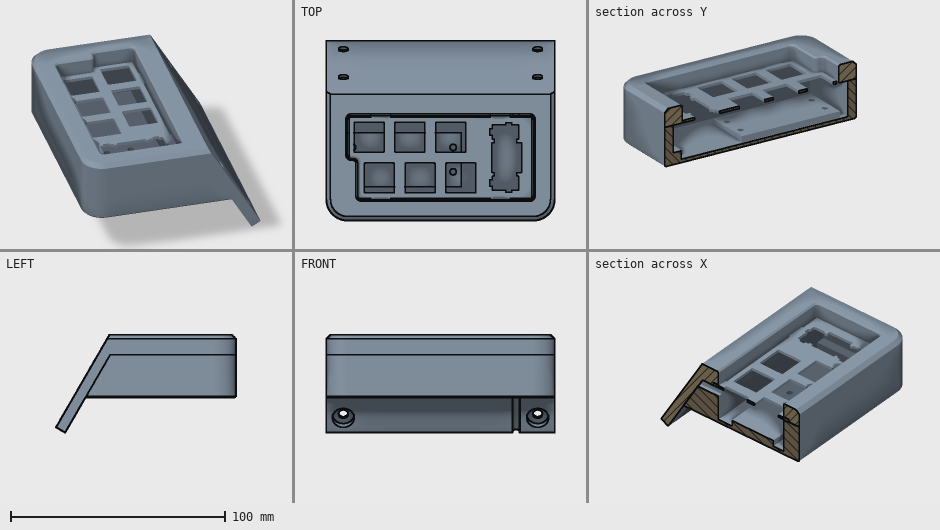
import cadquery as cq
import math


width = 106.78
box_height = 29.5
base_height = 20.0
corner_radius = 10.0
top_chamfer = 2.0
edge_chamfer = 0.8

slope = math.radians(60)
flange_length = 50.0
flange_thickness = 5.0
total_depth = 84.15
top_depth = total_depth - flange_length * math.cos(slope)

screw_diameter = 4.5
head_diameter = 10.2
head_depth = 3.5
screw_edge = 8.0
screw_spacing = 26.0

unit = 19.05
plate_thickness = 1.5
plate_trim = 0.3
plate_length = 4.5 * unit - plate_trim
plate_width = 2 * unit - plate_trim
plate_gap = 0.75
plate_y = 29.5
tab_length = 9.5
tab_reach = 3.0
tab_x = 27.9

key_size = 14.0
key_radius = 0.5
keys_per_row = 3
first_key_x = (unit - plate_length - plate_trim) / 2
row_shift = unit / 4
long_key_spacing = 1.125 * unit
long_key_x = first_key_x + row_shift + (keys_per_row - 1) * unit + long_key_spacing

stabiliser_pitch = 11.95
stabiliser_left = -6.75
stabiliser_right = 5.55
stabiliser_length = 6.75
bump_left = -7.85
bump_length = 3.0
neck_left = -5.85
neck_right = 4.75
end_notch_x = 1.0
end_notch_width = 2.8
end_notch_reach = 16.3

window_length = plate_length + 2 * plate_gap
window_width = plate_width + 2 * plate_gap
window_radius = 2.0
window_corner_step = 4.7
window_corner_top = 29.0
window_front = plate_y - window_width / 2
window_left = -window_length / 2
plate_top_z = base_height + plate_thickness

wall = 5.0
floor_thickness = 2.0
ledge_width = 4.6
ledge_top_z = 6.3

platform_right = 9.7
platform_length = 54.6
platform_width = 25.2
platform_y = 28.55
platform_top_z = 5.2
board_hole_diameter = 3.0
board_hole_pitch_x = 47.0
board_hole_pitch_y = 11.4

cable_x = 35.3
cable_diameter = 3.0
cable_z = 16.4
groove_centre_depth = 1.5
groove_mouth_width = 3.8
groove_mouth_depth = 0.5

notch_x = -28.2
notch_width = 4.4
notch_z = 15.4


def box_between(x_min, x_max, y_min, y_max, z_min, z_max):
    return cq.Workplane("XY").box(
        x_max - x_min, y_max - y_min, z_max - z_min, centered=False
    ).translate((x_min, y_min, z_min))


def centred_box(x, y, length, depth, z_min, z_max):
    return box_between(x - length / 2, x + length / 2, y - depth / 2, y + depth / 2, z_min, z_max)


def inner_slope_y(z):
    """Y of the flange's inner face at height z."""
    return top_depth + (box_height - z) / math.tan(slope) - flange_thickness / math.sin(slope)


def side_profile(points):
    """A closed (Y, Z) outline extruded over the full width."""
    return cq.Workplane("YZ").polyline(points).close().extrude(width / 2, both=True)


def slope_plane(depth):
    """Plane parallel to the slope, below its outer face; local Y runs down the slope."""
    normal = cq.Vector(0, math.sin(slope), math.cos(slope))
    origin = cq.Vector(0, top_depth, box_height) - normal * depth
    return cq.Plane(origin=origin, xDir=(1, 0, 0), normal=normal)


def round_front(body):
    return body.edges("|Z and <Y").fillet(corner_radius)


def window_cutter():
    """Window outline with its stepped front left corner, its rim chamfered outwards."""
    left_low = window_left + window_corner_step
    right = window_length / 2
    back = window_front + window_width
    height = box_height - plate_top_z
    cutter = (
        cq.Workplane("XY", origin=(0, 0, plate_top_z))
        .moveTo(left_low, window_front)
        .lineTo(right, window_front)
        .lineTo(right, back)
        .lineTo(window_left, back)
        .lineTo(window_left, window_corner_top)
        .lineTo(left_low, window_corner_top)
        .close()
        .extrude(height)
        .edges("|Z")
        .fillet(window_radius)
    )
    flare = (
        cq.Workplane("XY", origin=(0, 0, box_height - edge_chamfer))
        .add(cutter.faces(">Z").wires().vals()[0].translate(cq.Vector(0, 0, -edge_chamfer)))
        .toPending()
        .extrude(edge_chamfer, taper=-45)
    )
    return cutter.union(flare)


def plate_tabs():
    """The four plate tabs that sit between the cover and the base."""
    tabs = cq.Workplane("XY")
    reach = window_width + 2 * tab_reach
    for x in (-tab_x, tab_x):
        tabs = tabs.union(centred_box(x, plate_y, tab_length, reach, base_height, plate_top_z))
    return tabs


def make_cover():
    tip_y = total_depth
    tip_z = box_height - flange_length * math.sin(slope)
    inner_tip_y = tip_y - flange_thickness * math.sin(slope)
    inner_tip_z = tip_z - flange_thickness * math.cos(slope)
    cover = side_profile(
        [
            (0, base_height),
            (0, box_height),
            (top_depth, box_height),
            (tip_y, tip_z),
            (inner_tip_y, inner_tip_z),
            (inner_slope_y(base_height), base_height),
        ]
    )
    cover = round_front(cover)
    cover = cover.faces(">Z").edges("not >Y").chamfer(top_chamfer)
    cover = cover.cut(window_cutter())
    cover = cover.cut(
        centred_box(0, plate_y, window_length, window_width, base_height, plate_top_z)
    )
    cover = cover.cut(plate_tabs())

    lower_row = flange_length - screw_edge
    holes = [
        (x, down_slope)
        for x in (screw_edge - width / 2, width / 2 - screw_edge)
        for down_slope in (lower_row - screw_spacing, lower_row)
    ]
    inner = cq.Workplane(slope_plane(flange_thickness)).pushPoints(holes)
    cover = cover.cut(inner.circle(screw_diameter / 2).extrude(flange_thickness))
    cover = cover.cut(inner.circle(head_diameter / 2).extrude(head_depth))

    return cover.cut(make_groove())


def make_groove():
    """Round-bottomed groove with a flared mouth, from the cable hole down to the flange tip."""
    start = (box_height - cable_z) / math.sin(slope)
    length = flange_length - start
    plane = slope_plane(flange_thickness)
    tip = plane.toWorldCoords((cable_x, flange_length, 0))
    section = cq.Plane(origin=tip, xDir=(1, 0, 0), normal=plane.yDir)
    r = cable_diameter / 2
    mouth = groove_mouth_width / 2
    return (
        cq.Workplane(section)
        .moveTo(-mouth, 0)
        .lineTo(-r, -groove_mouth_depth)
        .lineTo(-r, -groove_centre_depth)
        .threePointArc((0, -groove_centre_depth - r), (r, -groove_centre_depth))
        .lineTo(r, -groove_mouth_depth)
        .lineTo(mouth, 0)
        .close()
        .extrude(-length)
    )


def make_base():
    base = side_profile(
        [
            (0, 0),
            (0, base_height),
            (inner_slope_y(base_height), base_height),
            (inner_slope_y(0), 0),
        ]
    )
    base = round_front(base)
    base = base.faces("<Z").edges("not >Y").chamfer(edge_chamfer)

    inner_x = width / 2 - wall
    back = window_front + window_width
    base = base.cut(box_between(-inner_x, inner_x, window_front, back, floor_thickness, base_height))
    base = base.union(
        box_between(inner_x - ledge_width, inner_x, window_front, back, floor_thickness, ledge_top_z)
    )
    platform_x = platform_right - platform_length / 2
    base = base.union(
        centred_box(
            platform_x, platform_y, platform_length, platform_width, floor_thickness, platform_top_z
        )
    )
    base = base.cut(
        cq.Workplane("XY", origin=(platform_x, platform_y, floor_thickness))
        .rect(board_hole_pitch_x, board_hole_pitch_y, forConstruction=True)
        .vertices()
        .circle(board_hole_diameter / 2)
        .extrude(platform_top_z - floor_thickness)
    )
    base = base.cut(
        cq.Workplane("XZ", origin=(cable_x, back, cable_z)).circle(cable_diameter / 2).extrude(-total_depth)
    )
    return base.cut(
        box_between(
            notch_x - notch_width / 2, notch_x + notch_width / 2, back, total_depth, notch_z, base_height
        )
    )


def key_cutout(x, y):
    return centred_box(x, y, key_size, key_size, base_height, plate_top_z).edges("|Z").fillet(key_radius)


def long_key_slot(x_min, x_max, y, length):
    """Box through the plate, placed from the centre of the long key."""
    y_middle = plate_y + y
    return box_between(
        long_key_x + x_min,
        long_key_x + x_max,
        y_middle - length / 2,
        y_middle + length / 2,
        base_height,
        plate_top_z,
    )


def long_key_cutout():
    """Key cutout joined by a neck to a stabiliser cutout at each end."""
    cutout = key_cutout(long_key_x, plate_y)
    cutout = cutout.union(long_key_slot(neck_left, neck_right, 0, 2 * stabiliser_pitch))
    half = end_notch_width / 2
    cutout = cutout.union(long_key_slot(end_notch_x - half, end_notch_x + half, 0, 2 * end_notch_reach))
    for y in (-stabiliser_pitch, stabiliser_pitch):
        pocket = long_key_slot(stabiliser_left, stabiliser_right, y, stabiliser_length)
        cutout = cutout.union(pocket.edges("|Z").fillet(key_radius))
        cutout = cutout.union(long_key_slot(bump_left, 0, y, bump_length))
    return cutout


def make_plate():
    plate = centred_box(0, plate_y, plate_length, plate_width, base_height, plate_top_z).union(plate_tabs())
    for i in range(keys_per_row):
        x = first_key_x + i * unit
        plate = plate.cut(key_cutout(x, plate_y + unit / 2))
        plate = plate.cut(key_cutout(x + row_shift, plate_y - unit / 2))

    return plate.cut(long_key_cutout())


cover = make_cover()
base = make_base()
plate = make_plate()
result = cq.Compound.makeCompound([cover.val(), base.val(), plate.val()])